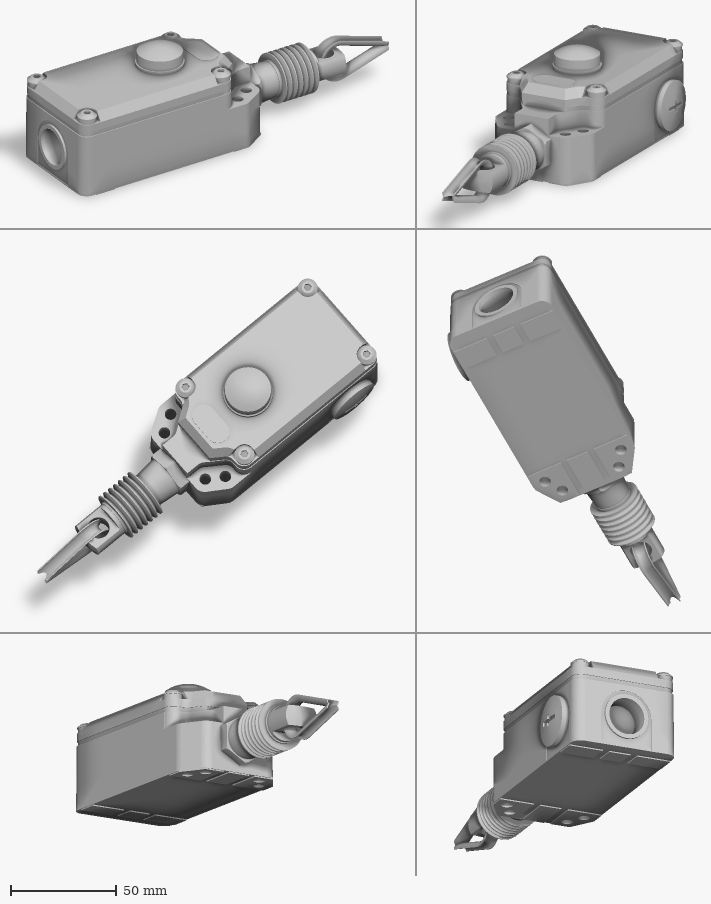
import cadquery as cq
import math


OVERRUN = 1.9

HALF_WIDTH = 26.8
BASE_FRONT = -0.2
BASE_LENGTH = 106.5
BASE_TOP = 32.3
DRAFT = 0.5
FRONT_CORNER_RADIUS = 5.1
REAR_CORNER_RADIUS = 5.7
CUT_CORNER_Y = 93.6
CUT_CORNER_X = 18.6
BASE_CORNERS = [(HALF_WIDTH, BASE_FRONT), (HALF_WIDTH, CUT_CORNER_Y), (CUT_CORNER_X, BASE_LENGTH)]
TAB_TOP = 24.0
NECK_HALF_WIDTH = 9.1
HOLE_CENTRES = [(15.0, 100.0), (20.1, 91.9)]
HOLE_DIAMETER = 5.5

FOOT_HEIGHT = 0.5
FOOT_ROWS = [(7.2, 17.8), (85.8, 106.0)]
FOOT_COLUMNS = [(-26.4, -9.0), (-5.5, 5.5), (9.0, 26.4)]

LID_HALF_WIDTH = 26.4
LID_FRONT = 0.2
LID_REAR = 94.4
LID_BOTTOM = 34.5
LID_EDGE = 38.5
LID_TOP = 43.1
LID_BEVEL_WIDTH = 3.2
GASKET_INSET = 0.4
SHOULDER_X = 17.0
SHOULDER_RADIUS = 5.0
SLOPE = 1.47

SCREW_X = 21.6
SCREW_FRONT_Y = 5.1
SCREW_REAR_Y = 81.3
POST_RADIUS = 4.4
SCREW_RADIUS = 4.7
SCREW_CROWN_RADIUS = 2.8
SCREW_RIM_BOTTOM = 41.0
SCREW_RIM_TOP = 41.5
SCREW_TOP = 43.1
SOCKET_SIZE = 3.8
SOCKET_DEPTH = 1.5
POST_REAR = SCREW_REAR_Y + FRONT_CORNER_RADIUS
SCREW_CENTRES = [(x, y) for x in (-SCREW_X, SCREW_X) for y in (SCREW_FRONT_Y, SCREW_REAR_Y)]

BUTTON_Y = 60.8
BUTTON_RADIUS = 11.0
BUTTON_COLLAR_RADIUS = 11.8
BUTTON_COLLAR_TOP = 44.8
BUTTON_EDGE = 50.1
BUTTON_TOP = 53.5
LABEL_LENGTH = 21.5
LABEL_WIDTH = 11.2
LABEL_Y = 84.0
LABEL_HEIGHT = 0.4

AXIS_Z = 16.3
ENTRY_PAD_RADIUS = 13.1
ENTRY_PAD_DEPTH = 0.28
ENTRY_PAD_BOTTOM = 1.1
ENTRY_RING_RADIUS = 11.2
ENTRY_RING_HEIGHT = 0.8
ENTRY_MOUTH_RADIUS = 9.1
ENTRY_FLOOR_RADIUS = 8.4
ENTRY_DEPTH = 9.5
PLUG_Y = 20.0
PLUG_NECK_RADIUS = 12.0
PLUG_RADIUS = 12.3
PLUG_ROOT_X = 24.7
PLUG_HEAD_X = 27.7
PLUG_EDGE_X = 30.0
PLUG_TOP_X = 31.7
PLUG_SLOT_LENGTH = 13.3
PLUG_SLOT_HEIGHT = 5.7
PLUG_SLOT_WIDTH = 2.0
PLUG_SLOT_DEPTH = 1.1

NUT_FLATS = 21.3
NUT_END = 112.0
NUT_CHAMFER = 0.8
CONE_START_RADIUS = 10.0
CONE_END_RADIUS = 9.0
CONE_END = 123.0
SHAFT_RADIUS = 8.7
COLLAR_RADIUS = 9.3
COLLAR_LENGTH = 1.1
FIN_START = 124.5
FIN_COUNT = 7
FIN_PITCH = 3.0
FIN_WIDTH = 0.5
FIN_ROOT_RADIUS = 9.9
FIN_RADIUS = 12.5
EYE_START = 146.5
EYE_THICKNESS = 9.9
EYE_EDGE = 161.2
EYE_END = 162.7
EYE_HOLE_Y = 153.8
EYE_HOLE_DIAMETER = 10.5

THIMBLE_Y = 160.5
THIMBLE_RADIUS = 10.5
THIMBLE_TIP = 189.1
THIMBLE_ANGLE = 17.0
GUTTER_RADIUS = 3.5
GUTTER_WALL = 0.5


def mirrored(points):
    """Closes a right-hand half outline with its mirror image about X = 0."""
    return points + [(-x, y) for x, y in reversed(points)]


def prism(points, bottom, top):
    return cq.Workplane("XY").workplane(offset=bottom).polyline(points).close().extrude(top - bottom)


def y_cylinder(radius, start, end):
    return cq.Workplane("XZ", origin=(0, start, AXIS_Z)).circle(radius).extrude(start - end)


def upright_edges_at(x, y):
    """Selects the edges parallel to Z that stand at (x, y)."""
    near = 0.2
    return cq.selectors.BoxSelector((x - near, y - near, 0), (x + near, y + near, BUTTON_TOP))


def bottom_wire(solid):
    """Outline of the underside of a solid, ready to be extruded upwards."""
    return cq.Workplane("XY").add(solid.faces("<Z").wires().val()).toPending()


def slope_x(y):
    """Half width of the sloping shoulder line at a given Y."""
    return SHOULDER_X - (y - POST_REAR) / SLOPE


def make_base():
    outline = mirrored(BASE_CORNERS)
    blank = prism(outline, FOOT_HEIGHT, BASE_TOP)
    for x, y in outline:
        radius = FRONT_CORNER_RADIUS if y == BASE_FRONT else REAR_CORNER_RADIUS
        blank = blank.edges(upright_edges_at(x, y)).fillet(radius)
    return bottom_wire(blank).extrude(BASE_TOP - FOOT_HEIGHT, taper=DRAFT)


def side_cutter():
    """Room above the two mounting tabs, outside the neck and the rear screw posts."""
    neck_y = POST_REAR + (SHOULDER_X - NECK_HALF_WIDTH) * SLOPE
    far_x = HALF_WIDTH + OVERRUN
    far_y = BASE_LENGTH + OVERRUN
    post_x = LID_HALF_WIDTH - FRONT_CORNER_RADIUS
    diagonal = FRONT_CORNER_RADIUS * math.sqrt(0.5)
    cutter = (
        cq.Workplane("XY").workplane(offset=TAB_TOP)
        .moveTo(far_x, SCREW_REAR_Y)
        .lineTo(LID_HALF_WIDTH, SCREW_REAR_Y)
        .threePointArc((post_x + diagonal, SCREW_REAR_Y + diagonal), (post_x, POST_REAR))
        .lineTo(SHOULDER_X, POST_REAR)
        .lineTo(NECK_HALF_WIDTH, neck_y)
        .lineTo(NECK_HALF_WIDTH, far_y)
        .lineTo(far_x, far_y)
        .close().extrude(BASE_TOP - TAB_TOP)
    )
    for corner in [(SHOULDER_X, POST_REAR), (NECK_HALF_WIDTH, neck_y)]:
        cutter = cutter.edges(upright_edges_at(*corner)).fillet(SHOULDER_RADIUS)
    return cutter.union(cutter.mirror("YZ"))


def make_feet():
    feet = cq.Workplane("XY")
    for y0, y1 in FOOT_ROWS:
        for x0, x1 in FOOT_COLUMNS:
            foot = cq.Workplane("XY").box(x1 - x0, y1 - y0, 2 * FOOT_HEIGHT, centered=False)
            feet = feet.union(foot.translate((x0, y0, 0)))
    return feet.intersect(prism(mirrored(BASE_CORNERS), 0, 2 * FOOT_HEIGHT))


def lid_slab(bottom, top, inset):
    """Slab of the lid outline, shrunk by the inset, with rounded screw corners and shoulders."""
    sharp = mirrored([
        (LID_HALF_WIDTH, LID_FRONT),
        (LID_HALF_WIDTH, POST_REAR),
        (SHOULDER_X, POST_REAR),
        (slope_x(LID_REAR), LID_REAR),
    ])
    slab = prism(sharp, bottom, top)
    for side in (-1, 1):
        for y in (LID_FRONT, POST_REAR):
            slab = slab.edges(upright_edges_at(side * LID_HALF_WIDTH, y)).fillet(FRONT_CORNER_RADIUS)
        slab = slab.edges(upright_edges_at(side * SHOULDER_X, POST_REAR)).fillet(SHOULDER_RADIUS)
    if inset:
        slab = bottom_wire(slab).offset2D(-inset).extrude(top - bottom)
    return slab


def screw_pocket(x, y):
    """Corner recess around a screw, open towards the outside and rounded on its inner corner."""
    size = 3 * SCREW_RADIUS
    pocket = (
        cq.Workplane("XY").box(size, size, LID_TOP - LID_EDGE, centered=False)
        .edges("|Z").edges("<X").edges("<Y").fillet(SCREW_RADIUS)
        .translate((-SCREW_RADIUS, -SCREW_RADIUS, LID_EDGE))
    )
    if x < 0:
        pocket = pocket.mirror("YZ")
    if y == SCREW_FRONT_Y:
        pocket = pocket.mirror("XZ")
    return pocket.translate((x, y, 0))


def make_lid():
    gasket = lid_slab(BASE_TOP, LID_BOTTOM, GASKET_INSET)
    cover = lid_slab(LID_BOTTOM, LID_TOP, 0)
    cover = cover.faces(">Z").chamfer(LID_TOP - LID_EDGE, LID_BEVEL_WIDTH)
    for x, y in SCREW_CENTRES:
        cover = cover.cut(screw_pocket(x, y))
    label = (
        cq.Workplane("XY", origin=(0, LABEL_Y, LID_EDGE))
        .slot2D(LABEL_LENGTH, LABEL_WIDTH).extrude(LID_TOP + LABEL_HEIGHT - LID_EDGE)
    )
    return gasket.union(cover).union(label)


def make_screw(x, y):
    profile = [
        (0, LID_BOTTOM),
        (POST_RADIUS, LID_BOTTOM),
        (POST_RADIUS, SCREW_RIM_BOTTOM),
        (SCREW_RADIUS, SCREW_RIM_BOTTOM),
        (SCREW_RADIUS, SCREW_RIM_TOP),
        (SCREW_CROWN_RADIUS, SCREW_TOP),
        (0, SCREW_TOP),
    ]
    screw = cq.Workplane("XZ").polyline(profile).close().revolve(360, (0, 0), (0, 1))
    socket = (
        cq.Workplane("XY").workplane(offset=SCREW_TOP - SOCKET_DEPTH)
        .polygon(6, SOCKET_SIZE).extrude(SOCKET_DEPTH)
    )
    return screw.cut(socket).translate((x, y, 0))


def dome_arc_point(radius, edge, top):
    """Point halfway along the arc from (radius, edge) to (0, top), centred on the axis."""
    rise = top - edge
    sphere_radius = (radius ** 2 + rise ** 2) / (2 * rise)
    half_angle = math.asin(radius / sphere_radius) / 2
    return sphere_radius * math.sin(half_angle), top - sphere_radius * (1 - math.cos(half_angle))


def make_button():
    button = (
        cq.Workplane("XZ").moveTo(0, LID_EDGE)
        .lineTo(BUTTON_COLLAR_RADIUS, LID_EDGE)
        .lineTo(BUTTON_COLLAR_RADIUS, BUTTON_COLLAR_TOP)
        .lineTo(BUTTON_RADIUS, BUTTON_COLLAR_TOP)
        .lineTo(BUTTON_RADIUS, BUTTON_EDGE)
        .threePointArc(dome_arc_point(BUTTON_RADIUS, BUTTON_EDGE, BUTTON_TOP), (0, BUTTON_TOP))
        .close().revolve(360, (0, 0), (0, 1))
    )
    return button.translate((0, BUTTON_Y, 0))


def pad_cutter():
    """Arched slab that cuts a shallow upright pad into the front wall, standing at Y = 0."""
    arch = y_cylinder(ENTRY_PAD_RADIUS, -OVERRUN, ENTRY_PAD_DEPTH)
    leg = cq.Workplane("XY").box(
        2 * ENTRY_PAD_RADIUS, OVERRUN + ENTRY_PAD_DEPTH, AXIS_Z - ENTRY_PAD_BOTTOM,
        centered=(True, False, False))
    return arch.union(leg.translate((0, -OVERRUN, ENTRY_PAD_BOTTOM)))


def entry_bore():
    """Bore of the open cable entry, narrowing towards its floor."""
    return (
        cq.Workplane("XZ", origin=(0, -ENTRY_RING_HEIGHT, AXIS_Z)).circle(ENTRY_MOUTH_RADIUS)
        .workplane(offset=-ENTRY_DEPTH).circle(ENTRY_FLOOR_RADIUS).loft()
    )


def make_plug():
    profile = (
        cq.Workplane("XY").moveTo(0, PLUG_ROOT_X)
        .lineTo(PLUG_NECK_RADIUS, PLUG_ROOT_X)
        .lineTo(PLUG_NECK_RADIUS, PLUG_HEAD_X)
        .lineTo(PLUG_RADIUS, PLUG_HEAD_X)
        .lineTo(PLUG_RADIUS, PLUG_EDGE_X)
        .threePointArc(dome_arc_point(PLUG_RADIUS, PLUG_EDGE_X, PLUG_TOP_X), (0, PLUG_TOP_X))
        .close()
    )
    plug = profile.revolve(360, (0, 0), (0, 1)).rotate((0, 0, 0), (0, 0, 1), 90)
    slots = cq.Workplane("XY").box(2 * PLUG_SLOT_DEPTH, PLUG_SLOT_LENGTH, PLUG_SLOT_WIDTH).union(
        cq.Workplane("XY").box(2 * PLUG_SLOT_DEPTH, PLUG_SLOT_WIDTH, PLUG_SLOT_HEIGHT))
    return plug.cut(slots.translate((-PLUG_TOP_X, 0, 0))).translate((0, PLUG_Y, AXIS_Z))


def make_nut():
    start = BASE_LENGTH - OVERRUN
    corner_diameter = NUT_FLATS / math.cos(math.pi / 6)
    nut = (
        cq.Workplane("XZ", origin=(0, start, AXIS_Z)).polygon(6, corner_diameter)
        .extrude(start - NUT_END).rotate((0, 0, AXIS_Z), (0, 1, AXIS_Z), 30)
    )
    turned = y_cylinder(corner_diameter / 2, start, NUT_END).faces(">Y").chamfer(NUT_CHAMFER)
    return nut.intersect(turned)


def make_shaft():
    """Cone, ribbed boot and eye end, turned in one profile of (radius, Y) points."""
    fin_end = FIN_START + (FIN_COUNT - 1) * FIN_PITCH + FIN_WIDTH
    shaft = (
        cq.Workplane("XY").moveTo(0, BASE_LENGTH)
        .lineTo(CONE_START_RADIUS, BASE_LENGTH)
        .lineTo(CONE_START_RADIUS, NUT_END)
        .lineTo(CONE_END_RADIUS, CONE_END)
        .lineTo(COLLAR_RADIUS, CONE_END)
        .lineTo(COLLAR_RADIUS, FIN_START)
    )
    for number in range(FIN_COUNT):
        fin_y = FIN_START + number * FIN_PITCH
        if number:
            shaft = shaft.lineTo(FIN_ROOT_RADIUS, fin_y - (FIN_PITCH - FIN_WIDTH) / 2)
        shaft = shaft.lineTo(FIN_RADIUS, fin_y).lineTo(FIN_RADIUS, fin_y + FIN_WIDTH)
    shaft = (
        shaft.lineTo(COLLAR_RADIUS, fin_end)
        .lineTo(COLLAR_RADIUS, fin_end + COLLAR_LENGTH)
        .lineTo(SHAFT_RADIUS, fin_end + COLLAR_LENGTH)
        .lineTo(SHAFT_RADIUS, EYE_EDGE)
        .threePointArc(dome_arc_point(SHAFT_RADIUS, EYE_EDGE, EYE_END), (0, EYE_END))
        .close().revolve(360, (0, 0), (0, 1))
    )
    flat_depth = COLLAR_RADIUS
    flat = cq.Workplane("XY").box(
        2 * COLLAR_RADIUS, EYE_END - EYE_START, flat_depth, centered=(True, False, False))
    shaft = shaft.cut(flat.translate((0, EYE_START, EYE_THICKNESS / 2)))
    shaft = shaft.cut(flat.translate((0, EYE_START, -EYE_THICKNESS / 2 - flat_depth)))
    eye = cq.Workplane("XY", origin=(0, EYE_HOLE_Y, 0)).circle(EYE_HOLE_DIAMETER / 2).extrude(
        EYE_THICKNESS, both=True)
    return shaft.cut(eye).translate((0, 0, AXIS_Z))


def make_housing():
    body = make_base().union(make_feet())
    body = body.cut(pad_cutter())
    left_pad = pad_cutter().rotate((0, 0, 0), (0, 0, 1), -90).translate((-HALF_WIDTH, PLUG_Y, 0))
    body = body.cut(left_pad)
    body = body.cut(side_cutter())
    body = body.union(make_lid()).union(make_button())
    for x, y in SCREW_CENTRES:
        body = body.union(make_screw(x, y))

    hole_centres = [(side * x, y) for x, y in HOLE_CENTRES for side in (-1, 1)]
    body = body.cut(cq.Workplane("XY").pushPoints(hole_centres).circle(HOLE_DIAMETER / 2).extrude(BASE_TOP))

    body = body.union(y_cylinder(ENTRY_RING_RADIUS, -ENTRY_RING_HEIGHT, OVERRUN))
    body = body.cut(entry_bore())
    return body.union(make_plug()).union(make_nut()).union(make_shaft())


def make_thimble():
    """Half-round gutter, open outwards, bent into a teardrop in the YZ plane about (THIMBLE_Y, AXIS_Z)."""
    inner = GUTTER_RADIUS - GUTTER_WALL

    def gutter():
        return (
            cq.Workplane("XY").moveTo(-GUTTER_RADIUS, THIMBLE_RADIUS)
            .threePointArc((0, THIMBLE_RADIUS - GUTTER_RADIUS), (GUTTER_RADIUS, THIMBLE_RADIUS))
            .lineTo(inner, THIMBLE_RADIUS)
            .threePointArc((0, THIMBLE_RADIUS - inner), (-inner, THIMBLE_RADIUS))
            .close()
        )

    start = 90 - THIMBLE_ANGLE
    reach = THIMBLE_TIP - THIMBLE_Y
    bow = gutter().revolve(2 * (180 - start), (0, 0), (1, 0)).rotate((0, 0, 0), (1, 0, 0), start)
    upper_half = cq.Workplane("XY").box(
        4 * GUTTER_RADIUS, reach, 2 * THIMBLE_RADIUS, centered=(True, False, False))
    leg = gutter().extrude(-2 * reach).rotate((0, 0, 0), (1, 0, 0), start).intersect(upper_half)
    thimble = bow.union(leg).union(leg.mirror("XY"))
    return thimble.translate((0, THIMBLE_Y, AXIS_Z))


housing = make_housing()
thimble = make_thimble()
result = cq.Compound.makeCompound([housing.val(), thimble.val()])